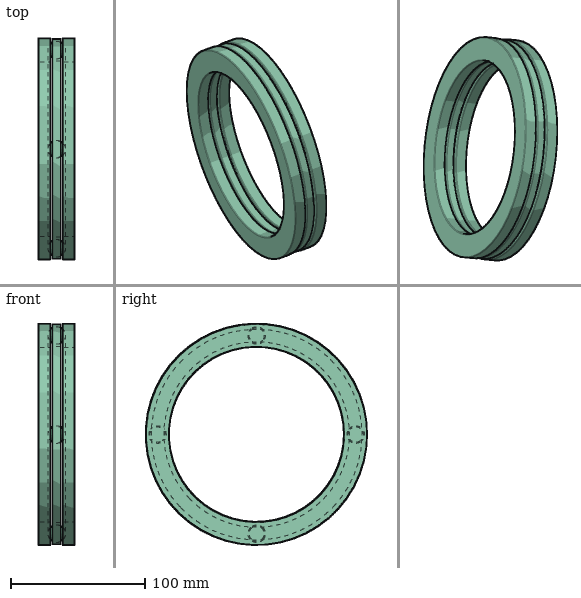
import cadquery as cq

OVERALL_WIDTH = 27.0
BALL_COUNT = 4
BALL_DIAMETER = 13.0
RIM_RADIUS = 0.5

WASHER_OUTER_DIAMETER = 165
WASHER_INNER_DIAMETER = 130.0
WASHER_GAP = 9.0
WASHER_THICKNESS = (OVERALL_WIDTH - WASHER_GAP) / 2

CAGE_OUTER_DIAMETER = 164.0
CAGE_INNER_DIAMETER = 131.0
CAGE_THICKNESS = 6.5

PITCH_RADIUS = (CAGE_OUTER_DIAMETER + CAGE_INNER_DIAMETER) / 4
BALL_RADIUS = BALL_DIAMETER / 2
BALL_SPACING = 360 / BALL_COUNT


def make_ring(start_x, thickness, outer_diameter, inner_diameter):
    """Flat ring about the X axis, running from start_x towards +X, with rounded rims."""
    return (
        cq.Workplane("YZ", origin=(start_x, 0, 0))
        .circle(outer_diameter / 2)
        .circle(inner_diameter / 2)
        .extrude(thickness)
        .faces("<X or >X")
        .edges()
        .fillet(RIM_RADIUS)
    )


def make_ball(index):
    """Ball on the pitch circle, turned about X by its share of the full circle."""
    return (
        cq.Workplane("XY")
        .sphere(BALL_RADIUS)
        .translate((0, 0, PITCH_RADIUS))
        .rotate((0, 0, 0), (1, 0, 0), index * BALL_SPACING)
    )


def make_race():
    """Torus swept by a ball along the pitch circle; it cuts the washer grooves."""
    return cq.Workplane(
        cq.Solid.makeTorus(PITCH_RADIUS, BALL_RADIUS, cq.Vector(0, 0, 0), cq.Vector(1, 0, 0))
    )


def make_washer(start_x):
    """Outer ring with a round-bottomed ball groove in its inward face."""
    blank = make_ring(start_x, WASHER_THICKNESS, WASHER_OUTER_DIAMETER, WASHER_INNER_DIAMETER)
    return blank.cut(make_race()).solids()


def make_cage(balls):
    """Middle ring with a spherical pocket for each ball."""
    cage = make_ring(-CAGE_THICKNESS / 2, CAGE_THICKNESS, CAGE_OUTER_DIAMETER, CAGE_INNER_DIAMETER)
    for ball in balls:
        cage = cage.cut(ball)
    return cage.solids()


balls = [make_ball(index) for index in range(BALL_COUNT)]
cage = make_cage(balls)
washers = [
    make_washer(start_x)
    for start_x in (-OVERALL_WIDTH / 2, OVERALL_WIDTH / 2 - WASHER_THICKNESS)
]

result = cq.Compound.makeCompound(
    [
        *[washer.val() for washer in washers],
        cage.val(),
        *[ball.val() for ball in balls],
    ]
)